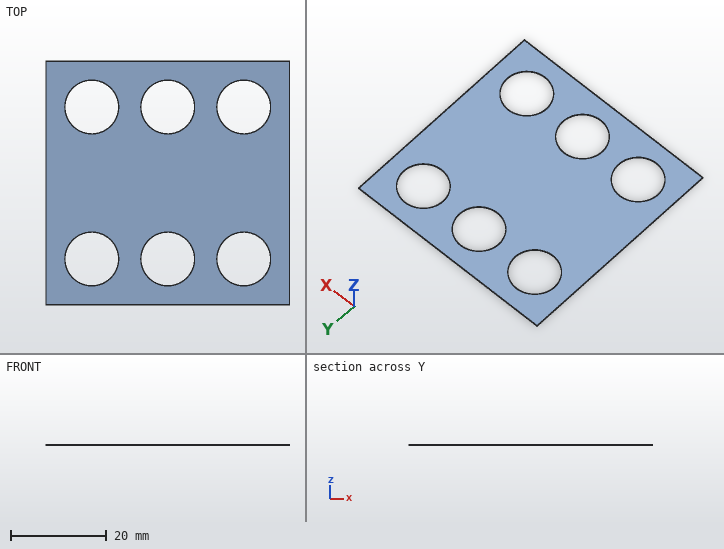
import cadquery as cq

side = 50.8
thickness = 0.25

hole_diameter = 11.2
holes_per_row = 3
row_count = 2
hole_pitch = 15.85
row_spacing = 2 * hole_pitch

sheet = cq.Workplane("XY").box(side, side, thickness)

result = (
    sheet.faces(">Z")
    .workplane()
    .rarray(hole_pitch, row_spacing, holes_per_row, row_count)
    .hole(hole_diameter)
)